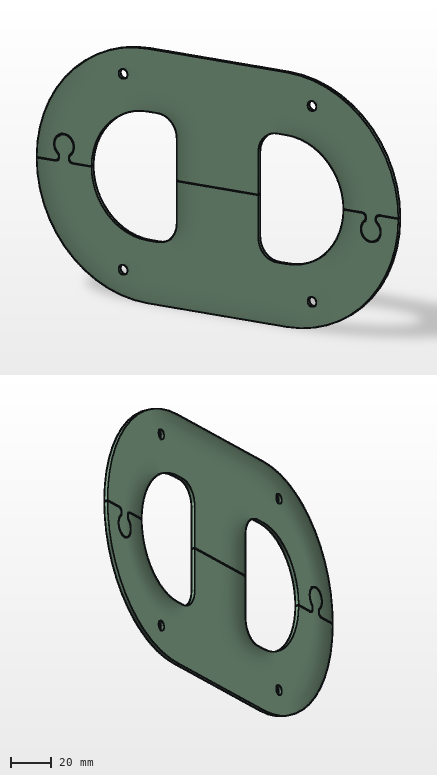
import cadquery as cq
import math

length = 211.0
height = 130.0
thickness = 2.0
end_radius = height / 2
end_center_x = length / 2 - end_radius

window_radius = 33.0
window_flat_x = 23.8
window_corner_radius = 11.0

hole_diameter = 5.0
hole_x = 55.0
hole_z = 50.0

gap = 0.5
knob_x = (length / 2 + end_center_x + window_radius) / 2
knob_z = 8.5
knob_radius = 5.7
neck_radius = 2.3
neck_center_offset = math.sqrt((knob_radius + neck_radius) ** 2 - (knob_z - neck_radius) ** 2)


def extrude_through(profile):
    """Extrude an XZ profile by the plate thickness, centered on Y = 0."""
    return profile.extrude(thickness / 2, both=True)


def window(side):
    """D-shaped window: round towards the plate end, straight towards the middle."""
    arc_x = side * end_center_x
    flat_x = side * window_flat_x
    profile = (
        cq.Workplane("XZ")
        .moveTo(flat_x, -window_radius)
        .lineTo(arc_x, -window_radius)
        .threePointArc((arc_x + side * window_radius, 0), (arc_x, window_radius))
        .lineTo(flat_x, window_radius)
        .close()
    )
    inner_corners = cq.selectors.BoxSelector(
        (flat_x - 2.1, -thickness, -height), (flat_x + 2.1, thickness, height)
    )
    return extrude_through(profile).edges("|Y").edges(inner_corners).fillet(window_corner_radius)


def full_plate():
    """The whole plate, before it is split along the seam."""
    plate = extrude_through(cq.Workplane("XZ").slot2D(length, height))
    for side in (-1, 1):
        plate = plate.cut(window(side))
    hole_points = [(x, z) for x in (-hole_x, hole_x) for z in (-hole_z, hole_z)]
    holes = extrude_through(cq.Workplane("XZ").pushPoints(hole_points).circle(hole_diameter / 2))
    return plate.cut(holes)


def add_knob(path, center_x, direction, seam_z):
    """Continue the seam from left to right around a knob pointing up (1) or down (-1)."""
    offset = direction * seam_z
    neck_r = neck_radius - offset
    knob_r = knob_radius + offset
    neck_z = direction * neck_radius
    tip_z = direction * knob_z

    spread = math.atan2(neck_center_offset, knob_z - neck_radius)
    join_x = knob_r * math.sin(spread)
    join_z = tip_z - direction * knob_r * math.cos(spread)

    swing = (math.pi - spread) / 2
    neck_mid_x = neck_center_offset - neck_r * math.sin(swing)
    neck_mid_z = neck_z - direction * neck_r * math.cos(swing)

    return (
        path.lineTo(center_x - neck_center_offset, seam_z)
        .threePointArc((center_x - neck_mid_x, neck_mid_z), (center_x - join_x, join_z))
        .threePointArc((center_x, tip_z + direction * knob_r), (center_x + join_x, join_z))
        .threePointArc((center_x + neck_mid_x, neck_mid_z), (center_x + neck_center_offset, seam_z))
    )


def half_plate(angle):
    """Lower half with a knob at -X and a socket at +X, turned about the Y axis."""
    seam_z = -gap / 2
    path = cq.Workplane("XZ").moveTo(-length, -height).lineTo(-length, seam_z)
    path = add_knob(path, -knob_x, 1, seam_z)
    path = add_knob(path, knob_x, -1, seam_z)
    region = extrude_through(path.lineTo(length, seam_z).lineTo(length, -height).close())
    return full_plate().intersect(region).rotate((0, 0, 0), (0, 1, 0), angle)


halves = []
for turn in (0, 180):
    halves.append(half_plate(turn).val())

result = cq.Compound.makeCompound(halves)